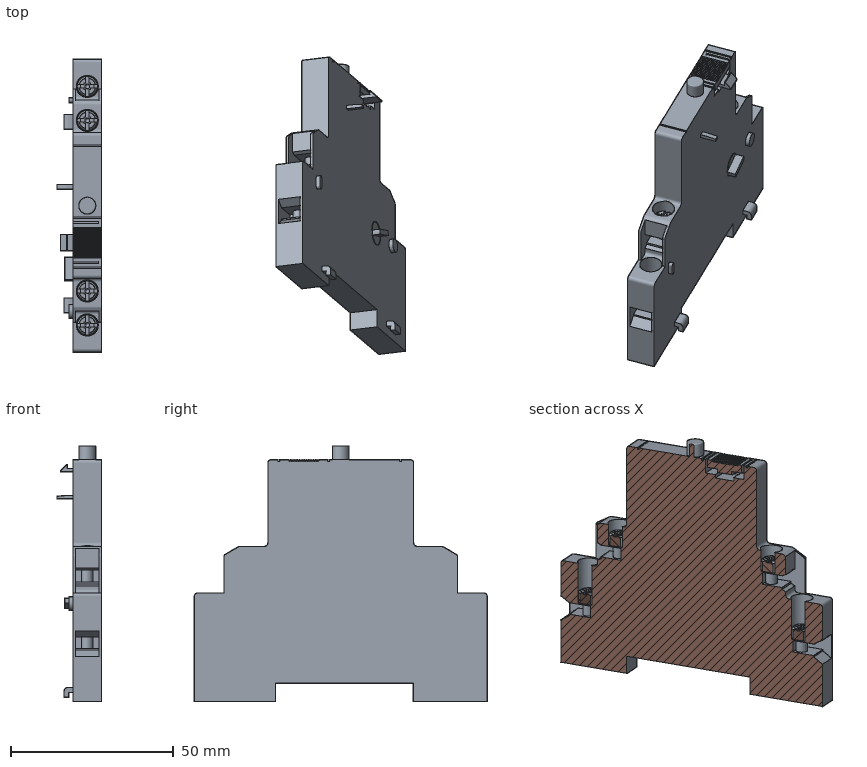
import cadquery as cq

WIDTH = 8.8
HALF_LENGTH = 45.0
SHOULDER_HALF = 35.9
TOWER_HALF = 22.4
SHOULDER_Z = 33.4
BENCH_Z = 47.7
TOWER_Z = 74.3
BEVEL_RUN = 4.7
BEVEL_DROP = 2.7
CORNER_R = 1.1
BEVEL_R = 0.9
RAIL_NOTCH_FRONT = -20.0
RAIL_NOTCH_BACK = 22.2
RAIL_NOTCH_Z = 5.6

WALL = 0.8
POCKET_BACK = 32.4
POCKET_FILLET = 1.0
BORE_DIA = 6.75
UPPER_BORE_Y = 26.2
LOWER_BORE_Y = 36.6
UPPER_FLOOR_Z = 36.7
UPPER_CEILING_Z = 40.4
LOWER_FLOOR_Z = 16.3
LOWER_CEILING_Z = 19.9
UPPER_MOUTH = {"flare_run": 1.3, "floor_drop": 0.6, "lip": 0.6, "ceiling_rise": 0.6}
LOWER_MOUTH = {"flare_run": 3.0, "floor_drop": 2.0, "lip": 0.45, "ceiling_rise": 1.8}

SHANK_DIA = 3.6
SEAT_THICKNESS = 0.5
HEAD_DIA = 6.2
HEAD_HEIGHT = 3.6
HEAD_FLAT_DIA = 5.0
HEAD_BEVEL = 0.5
SLOT_WIDTH = 1.1
SLOT_DEPTH = 1.1
CROSS_GROOVE_DEPTH = 0.5
CROSS_LENGTH = 4.1
CENTRE_SQUARE = 2.0
DIMPLE_DIA = 1.4
DIMPLE_DEPTH = 0.7

BUTTON_DIA = 5.2
BUTTON_TOP = 78.6
BUTTON_R = 0.4

LATCH_Y = -11.3
LATCH_WINDOW = 13.0
LATCH_GAP = 0.5
LATCH_DEPTH = 7.8
LATCH_BOTTOM_Z = 71.6
WINDOW_BOTTOM_Z = 69.8
WINDOW_STEP_WIDTH = 6.2
WINDOW_STEP_Z = 68.8
HOOK_WIDTH = 5.0
HOOK_REACH = 3.9
HOOK_BOTTOM_Z = 70.6
HOOK_NOSE = 0.4
HOOK_TOP_Z = 72.8
HOOK_FLAT = 0.3
RIB_COUNT = 17
RIB_PITCH = 0.55
RIB_GROOVE_DEPTH = 0.5

LABEL_GROOVES_Y = (18.4, -3.7, -19.0)
LABEL_GROOVE_WIDTH = 0.45
LABEL_GROOVE_DEPTH = 0.5

FIN_Y = 5.8
FIN_WIDTH = 1.5
FIN_BOTTOM_Z = 62.3
FIN_TOP_Z = 63.4
FIN_REACH = 4.95
FIN_FLAT = 2.0
FIN_DROP = 0.3
PEG_Z = 30.15
PEG_REACH = 1.3
ROUND_PEG_Y = -32.5
PEG_DIA = 4.2
FLAT_PEG_Y = 32.4
FLAT_PEG_WIDTH = 1.6
DIAL_Y = -19.4
DIAL_DIA = 7.3
DIAL_RECESS = 0.2
DIAL_BAR_WIDTH = 1.5
DIAL_BAR_REACH = 2.5
DIAL_TILT = 14.0
FOOT_HOOKS_Y = (25.7, -30.6)
FOOT_HOOK_WIDTH = 4.6
FOOT_HOOK_REACH = 2.8
FOOT_HOOK_TOP_Z = 4.4
FOOT_HOOK_TIP_Z = 1.35
FOOT_ARM = 1.6
FOOT_LEG = 1.5
FOOT_HOOK_R = 1.35


def box(x0, x1, y0, y1, z0, z1):
    """Axis-aligned box between two opposite corners."""
    return cq.Workplane("XY").box(x1 - x0, y1 - y0, z1 - z0, centered=False).translate((x0, y0, z0))


def yz_prism(points, x0, x1):
    """Outline in (Y, Z) extruded along X."""
    return cq.Workplane("YZ").workplane(offset=x0).polyline(points).close().extrude(x1 - x0)


def xz_prism(points, y_mid, width):
    """Outline in (X, Z) extruded along Y, centred on y_mid."""
    outline = cq.Workplane("XZ", origin=(0, y_mid, 0)).polyline(points).close()
    return outline.extrude(width / 2, both=True)


def fillet_at(body, spots, radius):
    """Round the X-direction edges that pass through the given (Y, Z) spots."""
    for y, z in spots:
        body = body.edges(cq.selectors.NearestToPointSelector((WIDTH / 2, y, z))).fillet(radius)
    return body


def both_ends(tool):
    """Tool for the +Y end together with its mirror image for the -Y end."""
    return tool, tool.mirror("XZ")


def housing_shell():
    bevel_y = SHOULDER_HALF - BEVEL_RUN
    bevel_z = BENCH_Z - BEVEL_DROP
    back = [
        (HALF_LENGTH, 0),
        (HALF_LENGTH, SHOULDER_Z),
        (SHOULDER_HALF, SHOULDER_Z),
        (SHOULDER_HALF, bevel_z),
        (bevel_y, BENCH_Z),
        (TOWER_HALF, BENCH_Z),
        (TOWER_HALF, TOWER_Z),
    ]
    front = [(-y, z) for y, z in reversed(back)]
    rail_notch = [
        (RAIL_NOTCH_FRONT, 0),
        (RAIL_NOTCH_FRONT, RAIL_NOTCH_Z),
        (RAIL_NOTCH_BACK, RAIL_NOTCH_Z),
        (RAIL_NOTCH_BACK, 0),
    ]
    shell = yz_prism(back + front + rail_notch, 0, WIDTH)
    for side in (1, -1):
        corners = [
            (side * HALF_LENGTH, SHOULDER_Z),
            (side * TOWER_HALF, BENCH_Z),
            (side * TOWER_HALF, TOWER_Z),
        ]
        bevels = [(side * SHOULDER_HALF, bevel_z), (side * bevel_y, BENCH_Z)]
        shell = fillet_at(shell, corners, CORNER_R)
        shell = fillet_at(shell, bevels, BEVEL_R)
    return shell


def shoulder_pocket():
    """Open space between the side walls above the shoulder, rounded where it meets the shoulder."""
    pocket = box(WALL, WIDTH - WALL, POCKET_BACK, HALF_LENGTH, SHOULDER_Z, BENCH_Z)
    return fillet_at(pocket, [(POCKET_BACK, SHOULDER_Z)], POCKET_FILLET)


def wire_chamber(mouth_y, back_y, floor_z, ceiling_z, flare_run, floor_drop, lip, ceiling_rise):
    """Chamber for a wire, with a sloped mouth below a small lip and a sloped ceiling."""
    inner_y = mouth_y - flare_run
    points = [
        (back_y, floor_z),
        (inner_y, floor_z),
        (inner_y, floor_z - lip),
        (mouth_y, floor_z - lip - floor_drop),
        (mouth_y, ceiling_z + ceiling_rise),
        (inner_y, ceiling_z),
        (back_y, ceiling_z),
    ]
    return yz_prism(points, WALL, WIDTH - WALL)


def screw_bore(y, ceiling_z, top_z):
    """Bore for the screw head, with a smaller hole for the shank through its seat."""
    seat_z = ceiling_z + SEAT_THICKNESS
    head_bore = cq.Workplane("XY", origin=(WIDTH / 2, y, seat_z)).circle(BORE_DIA / 2).extrude(top_z - seat_z)
    shank_hole = cq.Workplane("XY", origin=(WIDTH / 2, y, ceiling_z)).circle(SHANK_DIA / 2)
    return head_bore.union(shank_hole.extrude(SEAT_THICKNESS))


def cut_terminals(body):
    upper_back = UPPER_BORE_Y - SHANK_DIA / 2
    lower_back = LOWER_BORE_Y - SHANK_DIA / 2
    tools = [
        shoulder_pocket(),
        wire_chamber(POCKET_BACK, upper_back, UPPER_FLOOR_Z, UPPER_CEILING_Z, **UPPER_MOUTH),
        wire_chamber(HALF_LENGTH, lower_back, LOWER_FLOOR_Z, LOWER_CEILING_Z, **LOWER_MOUTH),
        screw_bore(UPPER_BORE_Y, UPPER_CEILING_Z, BENCH_Z + CORNER_R),
        screw_bore(LOWER_BORE_Y, LOWER_CEILING_Z, SHOULDER_Z + POCKET_FILLET),
    ]
    for tool in tools:
        for cutter in both_ends(tool):
            body = body.cut(cutter)
    return body


def add_button(body):
    button = cq.Workplane("XY", origin=(WIDTH / 2, 0, TOWER_Z)).circle(BUTTON_DIA / 2)
    button = button.extrude(BUTTON_TOP - TOWER_Z).faces(">Z").edges().fillet(BUTTON_R)
    return body.union(button)


def add_latch(body):
    """Free the latch block on three sides and below, then give it its hook."""
    half_window = LATCH_WINDOW / 2
    half_block = half_window - LATCH_GAP
    half_step = WINDOW_STEP_WIDTH / 2
    window = box(0, LATCH_DEPTH, LATCH_Y - half_window, LATCH_Y + half_window, WINDOW_BOTTOM_Z, TOWER_Z)
    step = box(0, LATCH_DEPTH, LATCH_Y - half_step, LATCH_Y + half_step, WINDOW_STEP_Z, WINDOW_BOTTOM_Z)
    block = box(0, LATCH_DEPTH, LATCH_Y - half_block, LATCH_Y + half_block, LATCH_BOTTOM_Z, TOWER_Z)
    nose_z = HOOK_BOTTOM_Z + HOOK_NOSE
    ramp_end = -HOOK_REACH + HOOK_TOP_Z - nose_z
    hook = xz_prism(
        [
            (LATCH_DEPTH, HOOK_BOTTOM_Z),
            (-HOOK_REACH, HOOK_BOTTOM_Z),
            (-HOOK_REACH, nose_z),
            (ramp_end, HOOK_TOP_Z),
            (ramp_end + HOOK_FLAT, HOOK_TOP_Z),
            (ramp_end + HOOK_FLAT, LATCH_BOTTOM_Z),
            (LATCH_DEPTH, LATCH_BOTTOM_Z),
        ],
        LATCH_Y,
        HOOK_WIDTH,
    )
    return body.cut(window).cut(step).union(block).union(hook)


def cut_ribs(body):
    """Triangular grooves side by side across the latch, leaving sharp ribs."""
    first_y = LATCH_Y - RIB_PITCH * RIB_COUNT / 2
    bottom_z = TOWER_Z - RIB_GROOVE_DEPTH
    for i in range(RIB_COUNT):
        y = first_y + i * RIB_PITCH
        groove = [(y, TOWER_Z), (y + RIB_PITCH / 2, bottom_z), (y + RIB_PITCH, TOWER_Z)]
        body = body.cut(yz_prism(groove, 0, WIDTH))
    return body


def cut_label_grooves(body):
    for y in LABEL_GROOVES_Y:
        y0 = y - LABEL_GROOVE_WIDTH / 2
        y1 = y + LABEL_GROOVE_WIDTH / 2
        body = body.cut(box(0, WIDTH, y0, y1, TOWER_Z - LABEL_GROOVE_DEPTH, TOWER_Z))
    return body


def add_fin(body):
    """Thin fin whose top slopes down towards the tip."""
    fin = xz_prism(
        [
            (0, FIN_BOTTOM_Z),
            (-FIN_REACH, FIN_BOTTOM_Z),
            (-FIN_REACH, FIN_TOP_Z - FIN_DROP),
            (-FIN_FLAT, FIN_TOP_Z),
            (0, FIN_TOP_Z),
        ],
        FIN_Y,
        FIN_WIDTH,
    )
    return body.union(fin)


def side_plane(y):
    """Sketch plane on the X = 0 face at peg height, local x along +Y."""
    return cq.Workplane("YZ", origin=(0, y, PEG_Z))


def add_pegs(body):
    round_peg = side_plane(ROUND_PEG_Y).circle(PEG_DIA / 2).extrude(-PEG_REACH)
    flat_peg = side_plane(FLAT_PEG_Y).slot2D(PEG_DIA, FLAT_PEG_WIDTH, 90).extrude(-PEG_REACH)
    return body.union(round_peg).union(flat_peg)


def add_dial(body):
    """Shallow round recess with a tilted bar standing across it."""
    recess = side_plane(DIAL_Y).circle(DIAL_DIA / 2).extrude(DIAL_RECESS)
    bar_height = DIAL_RECESS + DIAL_BAR_REACH
    bar = side_plane(DIAL_Y).rect(DIAL_DIA, DIAL_BAR_WIDTH).extrude(bar_height)
    bar = bar.rotate((0, DIAL_Y, PEG_Z), (1, DIAL_Y, PEG_Z), -DIAL_TILT)
    bar = bar.intersect(side_plane(DIAL_Y).circle(DIAL_DIA / 2).extrude(bar_height))
    return body.cut(recess).union(bar.translate((-DIAL_BAR_REACH, 0, 0)))


def add_foot_hooks(body):
    for y in FOOT_HOOKS_Y:
        hook = xz_prism(
            [
                (0, FOOT_HOOK_TOP_Z),
                (-FOOT_HOOK_REACH, FOOT_HOOK_TOP_Z),
                (-FOOT_HOOK_REACH, FOOT_HOOK_TIP_Z),
                (-FOOT_HOOK_REACH + FOOT_LEG, FOOT_HOOK_TIP_Z),
                (-FOOT_HOOK_REACH + FOOT_LEG, FOOT_HOOK_TOP_Z - FOOT_ARM),
                (0, FOOT_HOOK_TOP_Z - FOOT_ARM),
            ],
            y,
            FOOT_HOOK_WIDTH,
        )
        corner = cq.selectors.NearestToPointSelector((-FOOT_HOOK_REACH, y, FOOT_HOOK_TOP_Z))
        body = body.union(hook.edges(corner).fillet(FOOT_HOOK_R))
    return body


def make_housing():
    body = housing_shell()
    body = cut_terminals(body)
    body = add_button(body)
    body = add_latch(body)
    body = cut_ribs(body)
    body = cut_label_grooves(body)
    body = add_fin(body)
    body = add_pegs(body)
    body = add_dial(body)
    return add_foot_hooks(body)


def make_screw(y, floor_z, ceiling_z):
    """Screw standing on the chamber floor, its slotted head on the seat at the bottom of the bore."""
    seat_z = ceiling_z + SEAT_THICKNESS
    head_top = seat_z + HEAD_HEIGHT
    profile = [
        (0, floor_z),
        (SHANK_DIA / 2, floor_z),
        (SHANK_DIA / 2, seat_z),
        (HEAD_DIA / 2, seat_z),
        (HEAD_DIA / 2, head_top - HEAD_BEVEL),
        (HEAD_FLAT_DIA / 2, head_top),
        (0, head_top),
    ]
    screw = cq.Workplane("YZ").polyline(profile).close().revolve(360, (0, 0), (0, 1))
    top = cq.Workplane("XY", origin=(0, 0, head_top))
    screw = screw.cut(top.rect(SLOT_WIDTH, HEAD_DIA).extrude(-SLOT_DEPTH))
    screw = screw.cut(top.rect(HEAD_DIA, SLOT_WIDTH).extrude(-CROSS_GROOVE_DEPTH))
    screw = screw.cut(top.rect(CROSS_LENGTH, SLOT_WIDTH).extrude(-SLOT_DEPTH))
    screw = screw.cut(top.rect(CENTRE_SQUARE, CENTRE_SQUARE).extrude(-SLOT_DEPTH))
    dimple_base = cq.Vector(0, 0, head_top - SLOT_DEPTH)
    dimple = cq.Solid.makeCone(DIMPLE_DIA / 2, 0, DIMPLE_DEPTH, dimple_base, cq.Vector(0, 0, -1))
    return screw.cut(cq.Workplane(dimple)).translate((WIDTH / 2, y, 0))


housing = make_housing()
screws = []
for end in (1, -1):
    screws.append(make_screw(end * UPPER_BORE_Y, UPPER_FLOOR_Z, UPPER_CEILING_Z))
    screws.append(make_screw(end * LOWER_BORE_Y, LOWER_FLOOR_Z, LOWER_CEILING_Z))

result = cq.Compound.makeCompound([housing.val(), *[screw.val() for screw in screws]])